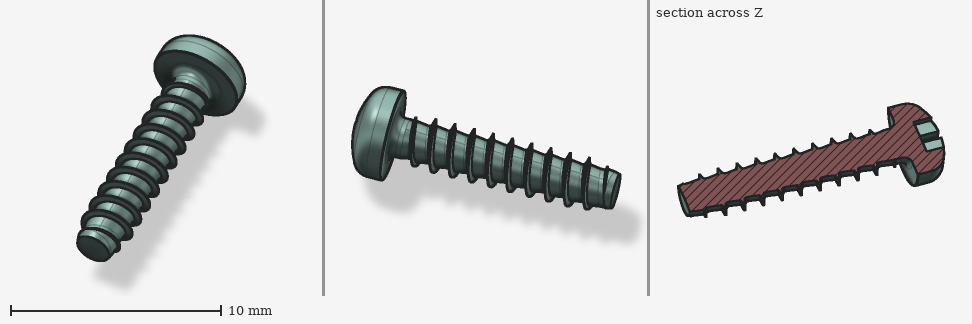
import cadquery as cq
import math


head_radius = 2.2
rim_height = 0.69
shoulder_height = 1.43
shoulder_radius = 1.77
dome_height = 1.883
seat_chamfer = 0.03

recess_tip_radius = 0.95
recess_wing_width = 0.42
recess_depth = 1.0

shank_length = 11.0
neck_radius = 0.96
neck_fillet = 0.40
neck_end = -0.63
core_radius = 0.88
cone_end = -0.98
tip_radius = 0.84
tip_cone_slope = 0.31
tip_dimple_depth = 0.03

pitch = 0.95
first_crest = -1.015
crest_radius = 1.25
crest_width = 0.035
root_radius = 0.955
flank_slope = 3.2
head_flank_bend = 0.09
head_flank_foot = 0.17
root_tip_foot = 0.63
run_in_drop = 0.20
run_in_end = 0.75
run_in_turns = 1.25
run_out_turns = 1.5
points_per_turn = 16

overlap = 0.01


def revolve_about_y(outline):
    """Body of revolution, turned so that its seam is on the +Z side like the thread's joints."""
    body = outline.close().revolve(360, (0, 0, 0), (0, 1, 0))
    return body.rotate((0, 0, 0), (0, 1, 0), -90).val()


def make_head():
    """Pan head: cylindrical rim, rounded shoulder and spherical dome."""
    dome_sag = dome_height - shoulder_height
    dome_sphere = (shoulder_radius**2 + dome_sag**2) / (2 * dome_sag)
    half_angle = math.asin(shoulder_radius / dome_sphere) / 2
    dome_mid = (
        dome_sphere * math.sin(half_angle),
        dome_height - dome_sphere * (1 - math.cos(half_angle)),
    )
    outline = (
        cq.Workplane("XY")
        .lineTo(head_radius - seat_chamfer, 0)
        .lineTo(head_radius, seat_chamfer)
        .lineTo(head_radius, rim_height)
        .tangentArcPoint((shoulder_radius, shoulder_height), relative=False)
        .threePointArc(dome_mid, (0, dome_height))
    )
    return revolve_about_y(outline)


def make_recess():
    """Cross-shaped driver recess sunk from the top of the dome."""
    wing = cq.Workplane("XZ", origin=(0, dome_height, 0))
    wing = wing.rect(2 * recess_tip_radius, recess_wing_width).extrude(recess_depth)
    return wing.union(wing.rotate((0, 0, 0), (0, 1, 0), 90)).val()


def make_neck():
    """Neck with its fillet under the head and the cone that leads into the core."""
    fillet_reach = neck_fillet * (1 - math.sqrt(0.5))
    buried_radius = core_radius - overlap
    cone_slope = (neck_radius - core_radius) / (neck_end - cone_end)
    buried_end = cone_end - overlap / cone_slope
    outline = (
        cq.Workplane("XY")
        .lineTo(neck_radius + neck_fillet, 0)
        .threePointArc((neck_radius + fillet_reach, -fillet_reach), (neck_radius, -neck_fillet))
        .lineTo(neck_radius, neck_end)
        .lineTo(buried_radius, buried_end)
        .lineTo(0, buried_end)
    )
    return revolve_about_y(outline)


def crest_height(turn):
    """Crest radius at a turn; the crest sinks toward the root at both ends of the thread."""
    tip_turn = (first_crest + shank_length) / pitch
    run_in = min(max((run_in_end - turn) / run_in_turns, 0), 1)
    run_out = min(max((turn - tip_turn) / run_out_turns + 1, 0), 1)
    crest = crest_radius - run_in * run_in_drop - run_out * (crest_radius - core_radius)
    return max(crest, root_radius + overlap)


def thread_profile(turn):
    """Section of one pitch as (axial offset from the crest, radius), from head side to tip side.

    The head-side flank bends outward to the core, in step with the crest. The tip-side flank
    ends on a raised root that slopes gently down to the core.
    """
    half_crest = crest_width / 2
    crest = crest_height(turn)

    def rise_share(at_turn):
        return (crest_height(at_turn) - core_radius) / (crest_radius - core_radius)

    def head_foot(at_turn):
        return half_crest + rise_share(at_turn) * head_flank_foot

    bend_radius = core_radius + rise_share(turn) * (root_radius - core_radius)
    tip_flank_base = half_crest + (crest - root_radius) / flank_slope
    return [
        (head_foot(turn), core_radius),
        (half_crest + rise_share(turn) * head_flank_bend, bend_radius),
        (half_crest, crest),
        (-half_crest, crest),
        (-tip_flank_base, root_radius),
        (-root_tip_foot, core_radius),
        (head_foot(turn + 1) - pitch, core_radius),
    ]


def thread_point(turn, corner):
    offset, radius = thread_profile(turn)[corner]
    angle = math.pi / 2 + 2 * math.pi * turn
    y = first_crest - pitch * turn + offset
    return cq.Vector(radius * math.cos(angle), y, radius * math.sin(angle))


def thread_curve(turn, corner):
    """Helical edge of one profile corner over one turn."""
    turns = [turn + i / points_per_turn for i in range(points_per_turn + 1)]
    step = 0.001
    tangents = []
    for end in (turn, turn + 1):
        chord = thread_point(end + step, corner) - thread_point(end - step, corner)
        tangents.append(chord / (2 * step))
    points = [thread_point(t, corner) for t in turns]
    return cq.Edge.makeSpline(points, tangents=tangents, parameters=turns, scale=False)


def axis_point(turn, corner):
    return cq.Vector(0, thread_point(turn, corner).y, 0)


def make_threaded_core():
    """Core and thread in one body: helical strips, closed to the axis at both ends.

    Spare turns past the neck and the tip leave room to trim both ends.
    """
    spare_turns = 3
    first_turn = -spare_turns
    last_turn = math.ceil((first_crest + shank_length) / pitch) + spare_turns
    last_corner = len(thread_profile(0)) - 1
    faces = []
    for turn in range(first_turn, last_turn):
        curves = [thread_curve(turn, corner) for corner in range(last_corner + 1)]
        faces += [cq.Face.makeRuledSurface(a, b) for a, b in zip(curves, curves[1:])]

    ends = ((first_turn, first_turn, 0), (last_turn, last_turn - 1, last_corner))
    for turn, helix_turn, corner in ends:
        axis_edge = cq.Edge.makeLine(axis_point(helix_turn, corner), axis_point(helix_turn + 1, corner))
        faces.append(cq.Face.makeRuledSurface(thread_curve(helix_turn, corner), axis_edge))
        section = [thread_point(turn, c) for c in range(last_corner + 1)]
        section += [axis_point(turn, last_corner), axis_point(turn, 0)]
        faces.append(cq.Face.makeFromWires(cq.Wire.makePolygon(section, close=True)))
    return cq.Solid.makeSolid(cq.Shell.makeShell(faces)).fix()


def make_thread_zone():
    """Space that the threaded core fills, from inside the neck to the tip cone and its dimpled end face."""
    tip_cone_length = (head_radius - tip_radius) / tip_cone_slope
    zone_start = neck_end + overlap
    outline = (
        cq.Workplane("XY")
        .moveTo(0, zone_start)
        .lineTo(head_radius, zone_start)
        .lineTo(head_radius, tip_cone_length - shank_length)
        .lineTo(tip_radius, -shank_length)
        .lineTo(0, tip_dimple_depth - shank_length)
    )
    return revolve_about_y(outline)


threaded_core = make_threaded_core().intersect(make_thread_zone())
head = make_head().cut(make_recess())
result = cq.Workplane(threaded_core.fuse(make_neck()).fuse(head))